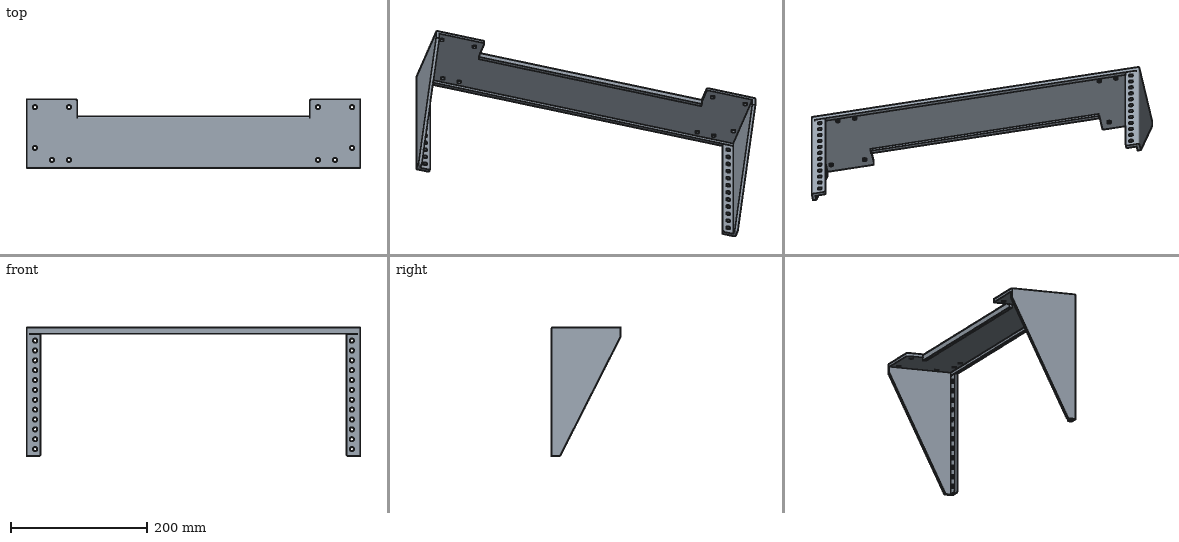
import cadquery as cq

width = 490.0
depth = 101.5
height = 189.0

sheet = 5.0
bend_radius = 2.5
corner_radius = 3.0

flange_height = 10.0
tab_width = 20.5
slit_gap = 0.25
leg_foot_depth = 12.5
leg_back_height = 14.0

ear_width = 74.5
notch_depth = 25.0

hole_diameter = 6.0
hole_inset = 12.2
rack_hole_spacing = 465.0
rack_hole_count = 12
rack_hole_top_drop = 19.5
rack_hole_span = 159.2
plate_hole_pitch = 25.0
side_hole_y = 30.0
rear_hole_y = 89.5

half_width = width / 2
flange_bottom = height - flange_height
notch_y = depth - notch_depth
notch_width = width - 2 * ear_width


def block(x_range, y_range, z_range):
    """Box spanning the given (low, high) limits on each axis."""
    sizes = [high - low for low, high in (x_range, y_range, z_range)]
    corner = (x_range[0], y_range[0], z_range[0])
    return cq.Workplane("XY").box(*sizes, centered=False).translate(corner)


def folded_shell():
    """Top, front and two side walls, with rounded bends along their shared edges."""
    outer = block((-half_width, half_width), (0, depth), (0, height))
    outer = outer.edges("(|X and >Z and <Y) or (|Y and >Z) or (|Z and <Y)").fillet(bend_radius)
    inner_x = half_width - sheet
    cavity = block((-inner_x, inner_x), (sheet, depth), (0, height - sheet))
    return outer.cut(cavity)


def front_window():
    """Opening below the front flange, leaving one tab along each leg."""
    tab_edge = half_width - tab_width
    window = block((-tab_edge, tab_edge), (0, sheet), (0, flange_bottom))
    for side in (-1, 1):
        flare = (
            cq.Workplane("XZ")
            .moveTo(side * tab_edge, 0)
            .lineTo(side * (tab_edge + corner_radius), 0)
            .radiusArc((side * tab_edge, corner_radius), side * corner_radius)
            .close()
            .extrude(-sheet)
        )
        window = window.union(flare)
    return window


def tab_slits():
    """Thin gaps that part the front flange from the tabs below it."""
    slit_end = half_width - sheet
    return block((-slit_end, slit_end), (0, sheet), (flange_bottom - slit_gap, flange_bottom))


def leg_taper():
    """Sloping cut that narrows both legs from the back edge to the foot."""
    return (
        cq.Workplane("YZ")
        .polyline([(leg_foot_depth, 0), (depth, 0), (depth, height - leg_back_height)])
        .close()
        .extrude(half_width, both=True)
    )


def rear_notch():
    """Cut between the two ears of the top plate."""
    return block((-notch_width / 2, notch_width / 2), (notch_y, depth), (0, height))


def rear_flange():
    """Flange bent down along the floor of the rear notch."""
    return block(
        (-notch_width / 2, notch_width / 2), (notch_y - sheet, notch_y), (flange_bottom, height - sheet)
    )


def rack_holes():
    """A column of holes through each front tab."""
    pitch = rack_hole_span / (rack_hole_count - 1)
    first_z = height - rack_hole_top_drop
    points = [
        (side * rack_hole_spacing / 2, first_z - row * pitch)
        for side in (-1, 1)
        for row in range(rack_hole_count)
    ]
    return cq.Workplane("XZ").pushPoints(points).circle(hole_diameter / 2).extrude(-sheet)


def plate_holes():
    """Mirrored groups of five holes through the top plate."""
    outer_x = half_width - hole_inset
    group = [
        (outer_x, rear_hole_y),
        (outer_x - 2 * plate_hole_pitch, rear_hole_y),
        (outer_x, side_hole_y),
        (outer_x - plate_hole_pitch, hole_inset),
        (outer_x - 2 * plate_hole_pitch, hole_inset),
    ]
    points = [(side * x, y) for side in (-1, 1) for x, y in group]
    holes = cq.Workplane("XY").workplane(offset=height - sheet).pushPoints(points)
    return holes.circle(hole_diameter / 2).extrude(sheet)


bracket = folded_shell().cut(front_window()).cut(tab_slits())
bracket = bracket.cut(leg_taper()).cut(rear_notch()).union(rear_flange())

notch_edge = cq.selectors.NearestToPointSelector((0, notch_y, height))
bracket = bracket.edges(notch_edge).fillet(bend_radius)

for side in (-1, 1):
    ear_corner = cq.selectors.NearestToPointSelector((side * notch_width / 2, depth, height - sheet / 2))
    bracket = bracket.edges(ear_corner).fillet(corner_radius)
    foot_corner = cq.selectors.NearestToPointSelector((side * (half_width - sheet / 2), leg_foot_depth, 0))
    bracket = bracket.edges(foot_corner).fillet(corner_radius)

result = bracket.cut(rack_holes()).cut(plate_holes())